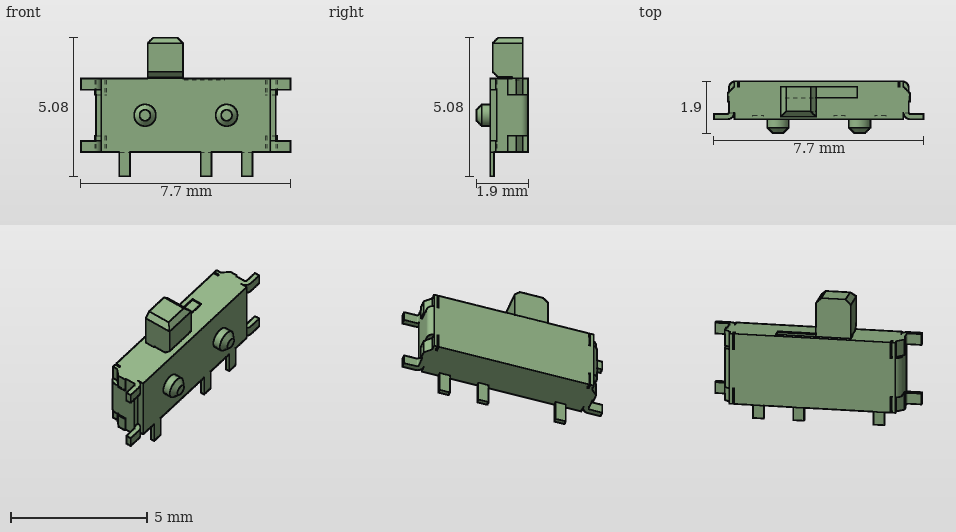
import cadquery as cq


overall_length = 7.7
housing_half_length = 3.1
housing_depth = 1.4
housing_height = 2.7

sheet = 0.2
bend_inner_radius = 0.05
bend_outer_radius = bend_inner_radius + sheet
cover_half_length = housing_half_length + sheet
foot_height = 0.415
cover_back_inner_y = housing_depth - sheet

lug_height = 0.6
lug_half_length = 3.35
lug_front_y = 0.65
lug_slope_start_y = cover_back_inner_y
lug_slope_end_y = lug_slope_start_y - (lug_half_length - housing_half_length)
slit_width = 0.055
slit_inner_x = 2.92

slot_half_length = 1.4
slot_width = 0.4
slot_depth = 0.05
slot_back_y = cover_back_inner_y
slot_front_y = slot_back_y - slot_width
knob_width = 1.3
knob_front_y = 0.09
knob_height = 1.49
knob_clearance = 0.05
knob_chamfer = 0.2

peg_radius = 0.4
peg_length = 0.5
peg_chamfer = 0.2
peg_spacing = 2.995

terminal_width = 0.4
terminal_thickness = 0.155
terminal_length = 0.89
terminal_centers = (-2.25, 0.75, 2.25)


def plan_rectangle(x_min, x_max, y_min, y_max):
    """Rectangular plan profile at Z = 0, given by its limits."""
    center = ((x_min + x_max) / 2, (y_min + y_max) / 2)
    return cq.Workplane("XY").center(*center).rect(x_max - x_min, y_max - y_min)


def box(x_min, x_max, y_min, y_max, z_min, z_max):
    """Block given by its limits along each axis."""
    return plan_rectangle(x_min, x_max, y_min, y_max).extrude(z_max - z_min).translate((0, 0, z_min))


def both_ends(left_end):
    """The left-hand feature together with its mirror image on the right."""
    return left_end.union(left_end.mirror("YZ"))


def at_top_and_bottom(profile, height):
    """Extrude a plan profile by height at the underside and again just below the top."""
    lower = profile.extrude(height)
    return lower.union(lower.translate((0, 0, housing_height - height)))


def make_end_plate():
    """Left end wall of the cover, rounded at the back and cut away around the lugs."""
    plate = (
        cq.Workplane("XY")
        .moveTo(-housing_half_length, bend_outer_radius)
        .lineTo(-cover_half_length, bend_outer_radius)
        .lineTo(-cover_half_length, housing_depth - bend_outer_radius)
        .radiusArc((-cover_half_length + bend_outer_radius, housing_depth), bend_outer_radius)
        .lineTo(-cover_half_length + bend_outer_radius, bend_outer_radius)
        .close()
        .extrude(housing_height)
    )
    lug_cutout = plan_rectangle(-cover_half_length, -housing_half_length, lug_front_y, housing_depth)
    return plate.cut(at_top_and_bottom(lug_cutout, lug_height))


def make_feet():
    """Left pair of solder feet, bent outwards from the end wall."""
    bend_center_x = -housing_half_length - bend_outer_radius
    profile = (
        cq.Workplane("XY")
        .moveTo(-housing_half_length, bend_outer_radius)
        .radiusArc((bend_center_x, 0), bend_outer_radius)
        .lineTo(-overall_length / 2, 0)
        .lineTo(-overall_length / 2, sheet)
        .lineTo(bend_center_x, sheet)
        .radiusArc((-cover_half_length, bend_outer_radius), -bend_inner_radius)
        .close()
    )
    return at_top_and_bottom(profile, foot_height)


def make_lugs():
    """Left pair of corner lugs, each with a sloped back."""
    profile = cq.Workplane("XY").polyline([
        (-housing_half_length, lug_front_y),
        (-lug_half_length, lug_front_y),
        (-lug_half_length, lug_slope_end_y),
        (-housing_half_length, lug_slope_start_y),
    ]).close()
    return at_top_and_bottom(profile, lug_height)


def make_slits():
    """Left pair of narrow slits between the lugs and the back of the cover."""
    profile = plan_rectangle(-slit_inner_x - slit_width, -slit_inner_x, cover_back_inner_y, housing_depth)
    return at_top_and_bottom(profile, lug_height)


def make_knob():
    """Slider knob at the left end of its slot, overhanging the housing towards the front."""
    x_min = -slot_half_length
    x_max = x_min + knob_width
    underside = housing_height + knob_clearance
    head = box(x_min, x_max, knob_front_y, slot_back_y, underside, housing_height + knob_height)
    head = head.faces(">Z").edges("<X or >X or <Y").chamfer(knob_chamfer)
    head = head.faces("<Z").edges("<Y").chamfer(knob_chamfer)
    stem = box(x_min, x_max, slot_front_y, slot_back_y, housing_height - slot_depth, underside)
    return head.union(stem)


def make_peg(x):
    """Round locating peg with a chamfered tip on the mounting face."""
    return (
        cq.Workplane("XZ")
        .center(x, housing_height / 2)
        .circle(peg_radius)
        .extrude(peg_length)
        .faces("<Y")
        .chamfer(peg_chamfer)
    )


def make_terminal(x):
    """Flat terminal below the housing, flush with the mounting face."""
    return box(x - terminal_width / 2, x + terminal_width / 2, 0, terminal_thickness,
               -terminal_length, 0)


housing = box(-housing_half_length, housing_half_length, 0, housing_depth, 0, housing_height)
slider_slot = box(-slot_half_length, slot_half_length, slot_front_y, slot_back_y,
                  housing_height - slot_depth, housing_height)

result = housing.union(both_ends(make_end_plate()))
result = result.union(both_ends(make_feet()))
result = result.union(both_ends(make_lugs()))
result = result.cut(both_ends(make_slits()))
result = result.cut(slider_slot).union(make_knob())

for peg_x in (-peg_spacing / 2, peg_spacing / 2):
    result = result.union(make_peg(peg_x))

for terminal_x in terminal_centers:
    result = result.union(make_terminal(terminal_x))